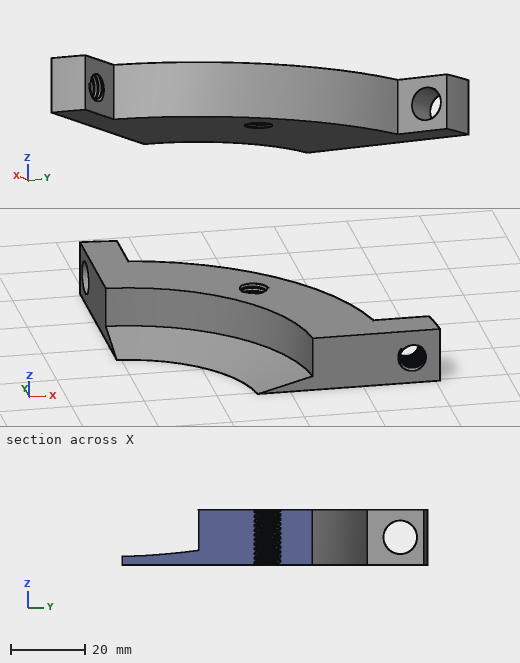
import cadquery as cq
import math

side = 82.4
thickness = 15.0
setback = 4.0
leg_width = 10.0
ring_radius = 71.5
bore_radius = 51.55
lip_radius = 36.5
lip_height = 4.0

leg_hole_offset = 74.95
leg_hole_height = thickness / 2
plain_diameter = 9.0
ring_hole_radius = 61.1
thread_minor = 6.75
thread_major = 8.15
thread_turns = 12
thread_pitch = thickness / thread_turns
root_flat = 0.16
groove_mouth = 1.1
mouth_overlap = 0.1

ring_hole_offset = ring_hole_radius / math.sqrt(2) - setback
end_radius = math.hypot(side + setback, setback)
centre = (-setback, -setback)


def disc(radius, height):
    return cq.Workplane("XY").center(*centre).circle(radius).extrude(height)


def make_body():
    """Ring sector with two legs, trimmed by a round outer end."""
    blank = cq.Workplane("XY").rect(side, side, centered=False).extrude(thickness)
    leg_x = cq.Workplane("XY").rect(side, leg_width, centered=False).extrude(thickness)
    leg_y = cq.Workplane("XY").rect(leg_width, side, centered=False).extrude(thickness)
    ring = disc(ring_radius, thickness)
    outline = ring.union(leg_x).union(leg_y)
    return blank.intersect(outline).intersect(disc(end_radius, thickness))


def make_bore():
    """Straight bore above a conical lip that narrows to the bottom face."""
    profile = [
        (0, 0),
        (lip_radius, 0),
        (bore_radius, lip_height),
        (bore_radius, thickness),
        (0, thickness),
    ]
    bore = cq.Workplane("XZ").polyline(profile).close().revolve(360, (0, 0), (0, 1))
    return bore.translate((*centre, 0))


def make_thread(depth, start_angle):
    """Threaded hole cutter along +Z, with the groove running out past both ends."""
    minor_radius = thread_minor / 2
    length = depth + 2 * thread_pitch
    core = cq.Workplane("XY").circle(minor_radius).extrude(length)
    path = cq.Workplane(cq.Wire.makeHelix(thread_pitch, length, minor_radius))
    groove = (
        cq.Workplane("XZ")
        .polyline([
            (minor_radius - mouth_overlap, -groove_mouth / 2),
            (thread_major / 2, -root_flat / 2),
            (thread_major / 2, root_flat / 2),
            (minor_radius - mouth_overlap, groove_mouth / 2),
        ])
        .close()
        .sweep(path, isFrenet=True)
    )
    cutter = core.union(groove).translate((0, 0, -thread_pitch))
    return cutter.rotate((0, 0, 0), (0, 0, 1), start_angle)


plain_hole = (
    cq.Workplane("YZ")
    .center(leg_hole_offset, leg_hole_height)
    .circle(plain_diameter / 2)
    .extrude(leg_width)
)

ring_thread_angle = 110
leg_thread_angle = 105
ring_thread = (
    make_thread(thickness, ring_thread_angle)
    .translate((ring_hole_offset, ring_hole_offset, 0))
)
leg_thread = (
    make_thread(leg_width, leg_thread_angle)
    .rotate((0, 0, 0), (1, 0, 0), -90)
    .translate((leg_hole_offset, 0, leg_hole_height))
)

result = make_body().cut(make_bore()).cut(plain_hole).cut(ring_thread).cut(leg_thread)